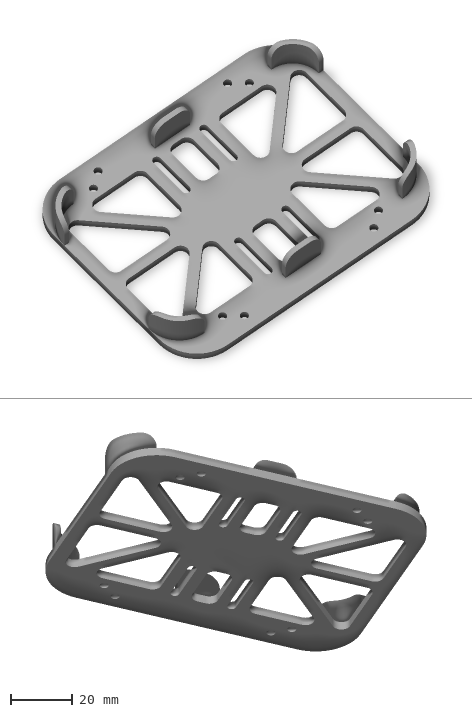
import cadquery as cq
import math

length = 110.0
width = 86.0
height = 14.0
plate_thickness = 3.0
plate_corner_radius = 16.0

tab_thickness = 2.0
tab_outer_x = 34.5
tab_round = 5.0
side_tab_length = 15.0
corner_tab_radius = 13.0
tab_height = height - plate_thickness

rib_width = 4.0
window_round = 3.0
end_window_outer_y = 50.0
side_window_outer_x = 29.5
side_window_inner_y = 15.7
diagonal_offset = 15.7

slot_outer_x = 30.0
slot_length = 18.0
slot_width = 3.0
slot_y = 10.0
middle_window_width = 9.0

hole_diameter = 3.0
hole_places = [(33.1, 33.1), (37.5, 27.5)]

SIDES = (1, -1)
QUADRANTS = [(sx, sy) for sx in SIDES for sy in SIDES]


def rounded_block(size_x, size_y, size_z, radius):
    """Block on the XY plane with rounded vertical edges."""
    block = cq.Workplane("XY").box(size_x, size_y, size_z, centered=(True, True, False))
    return block.edges("|Z").fillet(radius)


def mirrored(solid, sx, sy):
    """Copy of a solid from the +X +Y quadrant moved to the quadrant with the given signs."""
    if sx < 0:
        solid = solid.mirror("YZ")
    if sy < 0:
        solid = solid.mirror("XZ")
    return solid


def triangle_window(corners):
    """Cutter through the plate with a rounded triangular outline."""
    prism = cq.Workplane("XY").polyline(corners).close().extrude(plate_thickness)
    return prism.edges("|Z").fillet(window_round)


def end_window():
    """Triangle beside the centre rib, at the short end of the plate."""
    inner_x = rib_width / 2
    edge_offset = diagonal_offset + rib_width / math.sqrt(2)
    return triangle_window([
        (inner_x, end_window_outer_y),
        (inner_x, inner_x + edge_offset),
        (end_window_outer_y - edge_offset, end_window_outer_y),
    ])


def side_window():
    """Triangle along the long side of the plate, on the other side of the diagonal rib."""
    edge_offset = diagonal_offset - rib_width / math.sqrt(2)
    return triangle_window([
        (side_window_outer_x, side_window_inner_y),
        (side_window_inner_y - edge_offset, side_window_inner_y),
        (side_window_outer_x, side_window_outer_x + edge_offset),
    ])


def side_tab():
    """Straight tab at the middle of the +X side, with its two upper corners rounded."""
    tab = cq.Workplane("XY").box(
        tab_thickness, side_tab_length, tab_height, centered=(True, True, False)
    )
    tab = tab.edges("|X and >Z").fillet(tab_round)
    return tab.translate((tab_outer_x - tab_thickness / 2, 0, plate_thickness))


def corner_tab():
    """Quarter-ring tab at the +X +Y corner, with both upper ends rounded."""
    ring = (
        cq.Workplane("XY")
        .circle(corner_tab_radius)
        .circle(corner_tab_radius - tab_thickness)
        .extrude(tab_height)
    )
    envelope = cq.Workplane("XY").box(
        corner_tab_radius, corner_tab_radius, tab_height, centered=False
    )
    round_along_y = envelope.edges("|Y and >Z and <X").fillet(tab_round)
    round_along_x = envelope.edges("|X and >Z and <Y").fillet(tab_round)
    tab = ring.intersect(round_along_y).intersect(round_along_x)
    ring_center = (tab_outer_x - corner_tab_radius, length / 2 - corner_tab_radius)
    return tab.translate((*ring_center, plate_thickness))


result = rounded_block(width, length, plate_thickness, plate_corner_radius)
for sx, sy in QUADRANTS:
    result = result.cut(mirrored(end_window(), sx, sy))
    result = result.cut(mirrored(side_window(), sx, sy))

slot_x = slot_outer_x - slot_length / 2
slot_places = [(sx * slot_x, sy * slot_y) for sx, sy in QUADRANTS]
slots = cq.Workplane("XY").pushPoints(slot_places).slot2D(slot_length, slot_width)
result = result.cut(slots.extrude(plate_thickness))

middle_window = rounded_block(
    slot_length, middle_window_width, plate_thickness, window_round
)
for sx in SIDES:
    result = result.cut(middle_window.translate((sx * slot_x, 0, 0)))

all_holes = [(sx * x, sy * y) for x, y in hole_places for sx, sy in QUADRANTS]
holes = cq.Workplane("XY").pushPoints(all_holes).circle(hole_diameter / 2)
result = result.cut(holes.extrude(plate_thickness))

for sx in SIDES:
    result = result.union(mirrored(side_tab(), sx, 1))
for sx, sy in QUADRANTS:
    result = result.union(mirrored(corner_tab(), sx, sy))